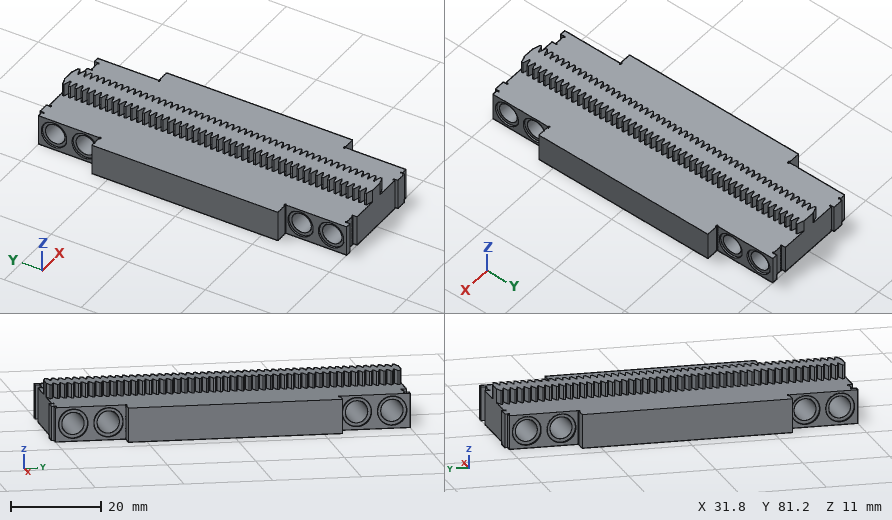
import cadquery as cq

TOTAL_LENGTH = 81.2
TOTAL_HEIGHT = 11.0
BLOCK_WIDTH = 31.8
BLOCK_LENGTH = 48.3
ARM_WIDTH = 25.25
PLATE_HEIGHT = 7.8

TAB_LENGTH = 0.6
TAB_WIDTH = 2.8
NOTCH_DEPTH = 1.0
TAB_INNER_X = 8.2
TAB_CLEARANCE = 0.25
NOTCH_WIDTH = TAB_WIDTH + TAB_CLEARANCE

CORNER_RELIEF_WIDTH = 0.5
CORNER_RELIEF_DEPTH = 0.25
TAB_RELIEF_WIDTH = 0.25
TAB_RELIEF_DEPTH = 0.5
NOTCH_RELIEF_WIDTH = 0.25
NOTCH_RELIEF_DEPTH = 0.25

HOLE_DIAMETER = 5.0
COUNTERBORE_DIAMETER = 6.6
COUNTERBORE_DEPTH = 0.5
HOLE_HEIGHT = 4.0
HOLE_END_DISTANCE = 4.1
HOLE_SPACING = 7.95

TEETH_PER_SIDE = 50
RACK_TIP_HALF_WIDTH = 3.3
RACK_ROOT_HALF_WIDTH = 1.6
TOOTH_TIP_WIDTH = 0.4
TOOTH_GAP_WIDTH = 0.2

PLATE_LENGTH = TOTAL_LENGTH - 2 * TAB_LENGTH
END_Y = PLATE_LENGTH / 2
RACK_HEIGHT = TOTAL_HEIGHT - PLATE_HEIGHT
TOOTH_PITCH = PLATE_LENGTH / TEETH_PER_SIDE
TOOTH_ROOT_WIDTH = TOOTH_PITCH - TOOTH_GAP_WIDTH
SIGNS = (-1, 1)


def upright_box(x_start, x_end, y_start, y_end):
    """Box over the full plate height between two X and two Y limits."""
    return (
        cq.Workplane("XY")
        .box(x_end - x_start, y_end - y_start, PLATE_HEIGHT, centered=False)
        .translate((x_start, y_start, 0))
    )


def both_ends(shape):
    """The shape together with its copy turned half a turn about Z."""
    return shape.union(shape.rotate((0, 0, 0), (0, 0, 1), 180))


def make_plate():
    arms = cq.Workplane("XY").box(ARM_WIDTH, PLATE_LENGTH, PLATE_HEIGHT, centered=(True, True, False))
    block = cq.Workplane("XY").box(BLOCK_WIDTH, BLOCK_LENGTH, PLATE_HEIGHT, centered=(True, True, False))
    return arms.union(block)


def make_corner_reliefs():
    """Grooves in the block faces, half beside each arm and half undercutting it."""
    face_y = BLOCK_LENGTH / 2
    reliefs = cq.Workplane("XY")
    for side in SIGNS:
        center_x = side * ARM_WIDTH / 2
        reliefs = reliefs.union(
            upright_box(
                center_x - CORNER_RELIEF_WIDTH / 2,
                center_x + CORNER_RELIEF_WIDTH / 2,
                face_y - CORNER_RELIEF_DEPTH,
                face_y,
            )
        )
    return both_ends(reliefs)


def make_tabs():
    """A tab at -X on the +Y end, and at +X on the -Y end."""
    tab = upright_box(-TAB_INNER_X - TAB_WIDTH, -TAB_INNER_X, END_Y - TAB_RELIEF_DEPTH, END_Y + TAB_LENGTH)
    return both_ends(tab)


def make_tab_reliefs():
    """Grooves in the end faces, on both sides of each tab."""
    reliefs = upright_box(
        -TAB_INNER_X - TAB_WIDTH - TAB_RELIEF_WIDTH,
        -TAB_INNER_X + TAB_RELIEF_WIDTH,
        END_Y - TAB_RELIEF_DEPTH,
        END_Y,
    )
    return both_ends(reliefs)


def make_notches():
    """A notch at +X on the +Y end, and at -X on the -Y end, with relieved floor corners."""
    x_start = TAB_INNER_X
    x_end = x_start + NOTCH_WIDTH
    floor_y = END_Y - NOTCH_DEPTH
    notch = upright_box(x_start, x_end, floor_y, END_Y)
    for relief_x in (x_start, x_end - NOTCH_RELIEF_WIDTH):
        relief_end_x = relief_x + NOTCH_RELIEF_WIDTH
        notch = notch.union(upright_box(relief_x, relief_end_x, floor_y - NOTCH_RELIEF_DEPTH, END_Y))
    return both_ends(notch)


def make_cross_hole(y):
    """Hole along X at the given Y, counterbored from both sides of the arm."""

    def cylinder(diameter, length):
        return cq.Workplane("YZ").center(y, HOLE_HEIGHT).circle(diameter / 2).extrude(length / 2, both=True)

    floor_spacing = ARM_WIDTH - 2 * COUNTERBORE_DEPTH
    counterbores = cylinder(COUNTERBORE_DIAMETER, ARM_WIDTH)
    counterbores = counterbores.cut(cylinder(COUNTERBORE_DIAMETER, floor_spacing))
    return counterbores.union(cylinder(HOLE_DIAMETER, ARM_WIDTH))


def make_rack():
    """Rack with tapered flat-topped teeth on both sides and half a gap at each end."""
    right_side = [(RACK_ROOT_HALF_WIDTH, -END_Y)]
    for tooth in range(TEETH_PER_SIDE):
        center_y = -END_Y + (tooth + 0.5) * TOOTH_PITCH
        right_side += [
            (RACK_ROOT_HALF_WIDTH, center_y - TOOTH_ROOT_WIDTH / 2),
            (RACK_TIP_HALF_WIDTH, center_y - TOOTH_TIP_WIDTH / 2),
            (RACK_TIP_HALF_WIDTH, center_y + TOOTH_TIP_WIDTH / 2),
            (RACK_ROOT_HALF_WIDTH, center_y + TOOTH_ROOT_WIDTH / 2),
        ]
    right_side.append((RACK_ROOT_HALF_WIDTH, END_Y))
    left_side = [(-x, y) for x, y in reversed(right_side)]
    outline = cq.Workplane("XY").workplane(offset=PLATE_HEIGHT).polyline(right_side + left_side).close()
    return outline.extrude(RACK_HEIGHT)


result = make_plate()
result = result.cut(make_corner_reliefs())
result = result.cut(make_tab_reliefs()).union(make_tabs())
result = result.cut(make_notches())
for side in SIGNS:
    for inset in (HOLE_END_DISTANCE, HOLE_END_DISTANCE + HOLE_SPACING):
        result = result.cut(make_cross_hole(side * (END_Y - inset)))
result = result.union(make_rack())